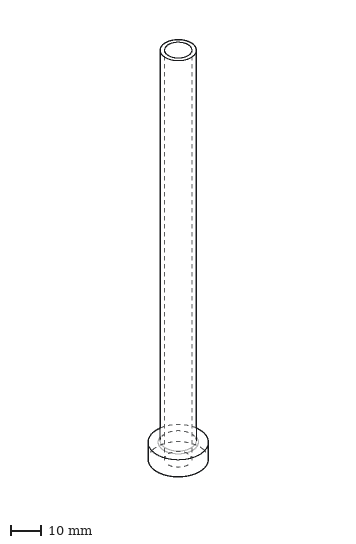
import cadquery as cq

total_length = 167.0
head_diameter = 20.0
head_height = 7.0
tube_diameter = 12.0
bore_diameter = 9.0
root_fillet = 0.7

head_radius = head_diameter / 2
tube_radius = tube_diameter / 2
bore_radius = bore_diameter / 2

fillet_center = (tube_radius + root_fillet, head_height + root_fillet)
fillet_diagonal = root_fillet * 0.5**0.5
fillet_middle = (fillet_center[0] - fillet_diagonal, fillet_center[1] - fillet_diagonal)

half_section = (
    cq.Workplane("XZ")
    .moveTo(bore_radius, 0)
    .lineTo(head_radius, 0)
    .lineTo(head_radius, head_height)
    .lineTo(fillet_center[0], head_height)
    .threePointArc(fillet_middle, (tube_radius, fillet_center[1]))
    .lineTo(tube_radius, total_length)
    .lineTo(bore_radius, total_length)
    .close()
)

result = half_section.revolve(360, (0, 0), (0, 1))